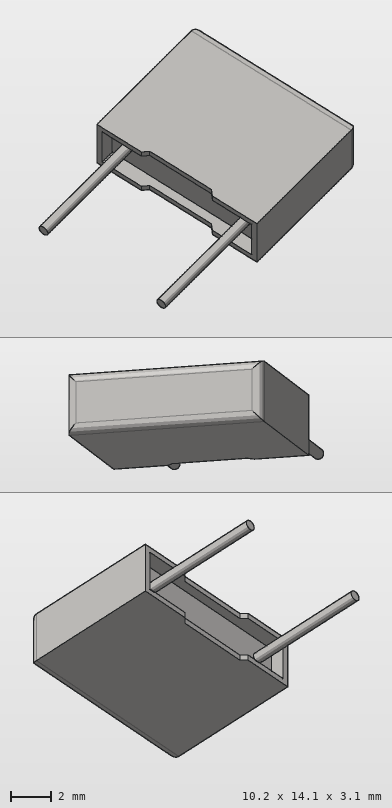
import cadquery as cq

housing_width = 10.2
housing_depth = 8.1
housing_height = 3.1
wall = 0.34
back_fillet = 0.5

notch_depth = 0.3
notch_floor_width = 3.93
notch_mouth_width = notch_floor_width + 2 * notch_depth

fill_recess = 0.8

lead_diameter = 0.56
lead_pitch = 7.5
total_depth = 14.1
lead_projection = total_depth - housing_depth
lead_length = lead_projection + fill_recess

cavity_width = housing_width - 2 * wall
cavity_height = housing_height - 2 * wall
cavity_depth = housing_depth - wall


def box_along_y(width, height, y_start, y_end):
    """Box centred on X and Z that spans y_start to y_end."""
    return cq.Workplane("XY").box(
        width, y_end - y_start, height, centered=(True, False, True)
    ).translate((0, y_start, 0))


def make_notch_cutter():
    """Trapezoid through the full height, narrowing away from the mouth."""
    return (
        cq.Workplane("XY")
        .polyline([
            (-notch_mouth_width / 2, 0),
            (notch_mouth_width / 2, 0),
            (notch_floor_width / 2, notch_depth),
            (-notch_floor_width / 2, notch_depth),
        ])
        .close()
        .extrude(housing_height / 2, both=True)
    )


def make_housing():
    """Open box with rounded back edges and a notched mouth."""
    shell = box_along_y(housing_width, housing_height, 0, housing_depth)
    shell = shell.faces(">Y").edges().fillet(back_fillet)
    cavity = box_along_y(cavity_width, cavity_height, 0, cavity_depth)
    return shell.cut(cavity).cut(make_notch_cutter())


def make_fill():
    """Solid block that fills the cavity behind the recess."""
    return box_along_y(cavity_width, cavity_height, fill_recess, cavity_depth)


def make_lead(x):
    """Lead from the fill face out past the mouth (the XZ normal is -Y)."""
    return (
        cq.Workplane("XZ", origin=(x, fill_recess, 0))
        .circle(lead_diameter / 2)
        .extrude(lead_length)
    )


housing = make_housing()
fill = make_fill()
leads = [make_lead(side * lead_pitch / 2) for side in (-1, 1)]

result = cq.Compound.makeCompound([
    housing.val(),
    fill.val(),
    *[lead.val() for lead in leads],
])